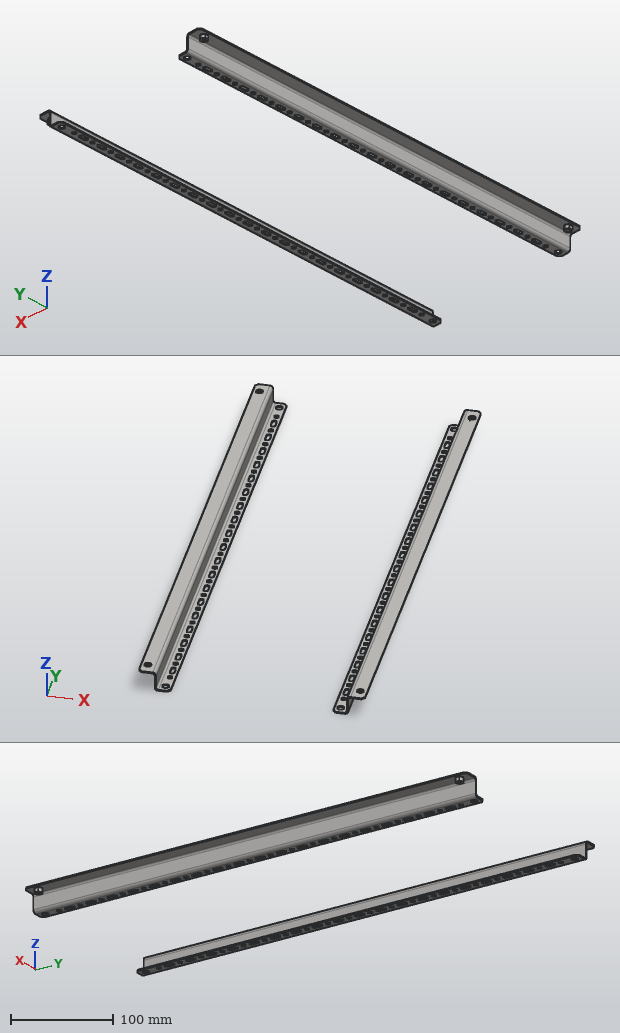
import cadquery as cq
overall_width = 227.0
rail_length = 523
rail_height = 21.0

sheet = 1.5
rail_width = 32.0
top_flange_width = 18.0
outer_bend_radius = 3.5
inner_bend_radius = outer_bend_radius - sheet
corner_chamfer = 3.0

pitch = 25.0
round_hole_count = 20
slot_count = round_hole_count - 1
perforation_width = 4.5
slot_length = 11.0
slot_angle = 90
perforation_edge_distance = 5.5
end_hole_diameter = 7.0
end_hole_edge_distance = 6.5
end_hole_end_distance = 8.0

clearance_diameter = 7.0
nut_across_flats = 8.0
bore_diameter = 3.5
nut_height = 4.5
nut_edge_distance = 7.0
nut_end_distance = 12.5

outer_x = overall_width / 2
inner_x = outer_x - rail_width
web_inner_x = outer_x - top_flange_width
web_outer_x = web_inner_x + sheet
flange_underside = rail_height - sheet
perforation_x = inner_x + perforation_edge_distance
end_hole_x = inner_x + end_hole_edge_distance
end_hole_y = rail_length / 2 - end_hole_end_distance
nut_x = outer_x - nut_edge_distance
nut_y = rail_length / 2 - nut_end_distance
nut_places = [(nut_x, -nut_y), (nut_x, nut_y)]


def centred_row(count):
    """Points along Y at the common pitch, centred on the rail."""
    first_y = -pitch * (count - 1) / 2
    return [(perforation_x, first_y + i * pitch) for i in range(count)]


def make_folded_sheet():
    """Z section with the web between an outward top flange and an inward bottom flange."""
    section = (
        cq.Workplane("XZ")
        .moveTo(inner_x, 0)
        .lineTo(web_outer_x, 0)
        .lineTo(web_outer_x, flange_underside)
        .lineTo(outer_x, flange_underside)
        .lineTo(outer_x, rail_height)
        .lineTo(web_inner_x, rail_height)
        .lineTo(web_inner_x, sheet)
        .lineTo(inner_x, sheet)
        .close()
        .extrude(rail_length / 2, both=True)
    )

    def bend_edge(x, z):
        return cq.selectors.NearestToPointSelector((x, 0, z))

    for x, z in [(web_inner_x, rail_height), (web_outer_x, 0)]:
        section = section.edges(bend_edge(x, z)).fillet(outer_bend_radius)
    for x, z in [(web_inner_x, sheet), (web_outer_x, flange_underside)]:
        section = section.edges(bend_edge(x, z)).fillet(inner_bend_radius)
    for side_face in ("<X", ">X"):
        section = section.faces(side_face).edges("|Z").chamfer(corner_chamfer)
    return section


def drills(places, diameter, depth):
    """Upright cylinders standing on the rail's base plane."""
    return cq.Workplane("XY").pushPoints(places).circle(diameter / 2).extrude(depth)


def make_rail():
    """Folded sheet with perforations, end holes and clearance holes for the nuts."""
    end_places = [(end_hole_x, -end_hole_y), (end_hole_x, end_hole_y)]
    slots = (
        cq.Workplane("XY")
        .pushPoints(centred_row(slot_count))
        .slot2D(slot_length, perforation_width, slot_angle)
        .extrude(sheet)
    )
    return (
        make_folded_sheet()
        .cut(drills(centred_row(round_hole_count), perforation_width, sheet))
        .cut(slots)
        .cut(drills(end_places, end_hole_diameter, sheet))
        .cut(drills(nut_places, clearance_diameter, rail_height))
    )


def make_nut(x, y):
    """Hexagonal nut against the underside of the top flange, with a plain through bore."""
    return (
        cq.Workplane("XY", origin=(x, y, flange_underside - nut_height))
        .polygon(6, nut_across_flats, circumscribed=True)
        .circle(bore_diameter / 2)
        .extrude(nut_height)
    )


def facing_pair(body):
    """The body on the +X side and its mirror image on the -X side."""
    return [body.val(), body.mirror("YZ").val()]


rails = facing_pair(make_rail())

nuts = []
for place in nut_places:
    nuts += facing_pair(make_nut(*place))

result = cq.Compound.makeCompound([*rails, *nuts])